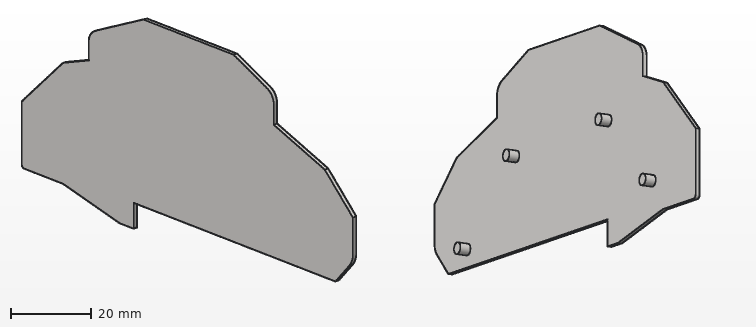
import cadquery as cq

length = 119.5
height = 57.1
plate_thickness = 1.2
pin_diameter = 3.0
pin_height = 3.0

left_edge_z = 4.7
main_edge_z = 6.9
foot_right_x = 40.4

crown_left_x = 24.1
crown_right_x = 90.9
crown_left_shoulder_z = 47.9
crown_right_shoulder_z = 50.5

left_corner_radius = 1.0
right_corner_radius = 5.0
crown_radius = 4.0

pin_centres = [
    (19.7, 12.8),
    (39.9, 32.0),
    (82.1, 30.9),
    (104.4, 11.5),
]

left_corner = (0, left_edge_z)
right_corner = (length, 14.1)
crown_left_corner = (crown_left_x, crown_left_shoulder_z)
crown_right_corner = (crown_right_x, crown_right_shoulder_z)

outline = [
    left_corner,
    (14.9, left_edge_z),
    (35.4, 0),
    (foot_right_x, 0),
    (foot_right_x, main_edge_z),
    (113.1, main_edge_z),
    right_corner,
    (length, 25.9),
    (109.3, 35.8),
    (crown_right_x, 42.5),
    crown_right_corner,
    (76.5, height),
    (44.0, height),
    crown_left_corner,
    (crown_left_x, 40.4),
    (14.8, 37.0),
    (0, 22.5),
]


def extrude_back(sketch, depth):
    """Extrude a sketch on the XZ plane toward +Y."""
    return sketch.extrude(-depth)


def round_corner(body, corner, radius):
    """Fillet the plate edge that runs along Y through an outline corner."""
    x, z = corner
    edge_middle = (x, plate_thickness / 2, z)
    return body.edges(cq.selectors.NearestToPointSelector(edge_middle)).fillet(radius)


def make_plate():
    plate = extrude_back(cq.Workplane("XZ").polyline(outline).close(), plate_thickness)
    plate = round_corner(plate, left_corner, left_corner_radius)
    plate = round_corner(plate, right_corner, right_corner_radius)
    plate = round_corner(plate, crown_left_corner, crown_radius)
    return round_corner(plate, crown_right_corner, crown_radius)


def make_pins():
    sketch = cq.Workplane("XZ").pushPoints(pin_centres).circle(pin_diameter / 2)
    return extrude_back(sketch, plate_thickness + pin_height)


result = make_plate().union(make_pins())